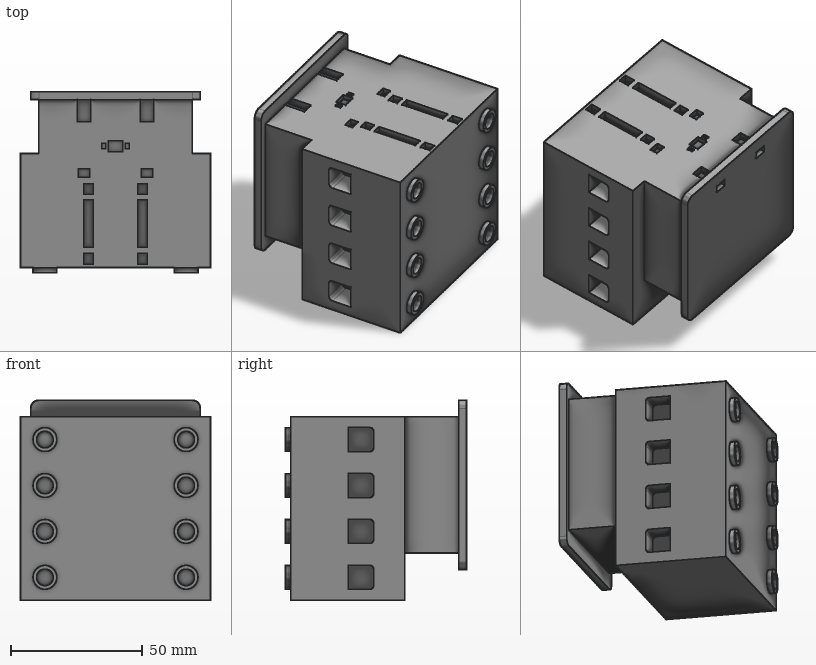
import cadquery as cq


BLOCK_WIDTH = 72.5
BLOCK_DEPTH = 43.5
BLOCK_HEIGHT = 70.0

NECK_WIDTH = 58.5
NECK_DEPTH = 20.5
NECK_HEIGHT = 52.0

PLATE_SIZE = 64.6
PLATE_THICKNESS = 3.0
PLATE_CORNER_RADIUS = 3.0
PLATE_RISE = 6.25

PLATE_FRONT_Y = BLOCK_DEPTH + NECK_DEPTH
PLATE_TOP_Z = BLOCK_HEIGHT + PLATE_RISE

TERMINAL_ROWS = 4
TERMINAL_PITCH = BLOCK_HEIGHT / TERMINAL_ROWS
TERMINAL_LEVELS = [TERMINAL_PITCH * (row + 0.5) for row in range(TERMINAL_ROWS)]

RING_X = 26.9
RING_DIAMETER = 9.1
RING_LENGTH = 2.0
RING_BORE_DIAMETER = 6.3
RING_BORE_DEPTH = 4.0

OPENING_FRONT_Y = 22.0
OPENING_WIDTH = 9.6
OPENING_HEIGHT = 9.2
OPENING_DEPTH = 10.0
OPENING_CORNER_RADIUS = 1.5

LATCH_X = 12.0
LATCH_WIDTH = 5.0
LATCH_NECK_LENGTH = 8.5
LATCH_LENGTH = LATCH_NECK_LENGTH + PLATE_THICKNESS
LATCH_DEPTH = 3.0

WINDOW_Y = 46.3
WINDOW_WIDTH = 5.4
WINDOW_LENGTH = 4.2
WINDOW_DEPTH = 2.0
SIDE_POCKET_X = 4.4
SIDE_POCKET_WIDTH = 1.5
SIDE_POCKET_LENGTH = 2.2
SIDE_POCKET_DEPTH = 1.0

SHALLOW_Y = 36.0
SHALLOW_WIDTH = 4.3
SHALLOW_LENGTH = 3.2
SHALLOW_DEPTH = 2.5

DEEP_X = 10.3
DEEP_WIDTH = 3.6
DEEP_DEPTH = 5.0
DEEP_SLOTS = [(3.4, 4.2), (16.8, 18.2), (29.9, 3.9)]


def make_block():
    return cq.Workplane("XY").box(
        BLOCK_WIDTH, BLOCK_DEPTH, BLOCK_HEIGHT, centered=(True, False, False)
    )


def make_neck():
    return (
        cq.Workplane("XY")
        .box(NECK_WIDTH, NECK_DEPTH, NECK_HEIGHT, centered=(True, False, False))
        .translate((0, BLOCK_DEPTH, BLOCK_HEIGHT - NECK_HEIGHT))
    )


def make_plate():
    return (
        cq.Workplane("XY")
        .box(PLATE_SIZE, PLATE_THICKNESS, PLATE_SIZE, centered=(True, False, False))
        .edges("|Y")
        .fillet(PLATE_CORNER_RADIUS)
        .translate((0, PLATE_FRONT_Y, PLATE_TOP_Z - PLATE_SIZE))
    )


def cylinder_from_ring_face(x, z, diameter, length):
    """Cylinder that starts at the ring's front face and runs toward the plate."""
    start = cq.Vector(x, -RING_LENGTH, z)
    return cq.Workplane(cq.Solid.makeCylinder(diameter / 2, length, start, cq.Vector(0, 1, 0)))


def make_wire_opening(side, z):
    """Opening in the -X (side = -1) or +X (side = 1) wall, rounded at its rear corners."""
    centre_x = side * (BLOCK_WIDTH - OPENING_DEPTH) / 2
    centre_y = OPENING_FRONT_Y + OPENING_WIDTH / 2
    return (
        cq.Workplane("XY")
        .box(OPENING_DEPTH, OPENING_WIDTH, OPENING_HEIGHT)
        .edges("|X and >Y")
        .fillet(OPENING_CORNER_RADIUS)
        .translate((centre_x, centre_y, z))
    )


def top_pocket(x, y, width, length, depth):
    """Rectangular cutter sunk into the top, centred on (x, y)."""
    return cq.Workplane("XY").box(width, length, depth).translate((x, y, BLOCK_HEIGHT - depth / 2))


def add_terminals(body):
    for side in (-1, 1):
        for z in TERMINAL_LEVELS:
            x = side * RING_X
            body = body.union(cylinder_from_ring_face(x, z, RING_DIAMETER, RING_LENGTH))
            body = body.cut(cylinder_from_ring_face(x, z, RING_BORE_DIAMETER, RING_BORE_DEPTH))
            body = body.cut(make_wire_opening(side, z))
    return body


def cut_top_pockets(body):
    latch_y = PLATE_FRONT_Y - LATCH_NECK_LENGTH + LATCH_LENGTH / 2
    body = body.cut(top_pocket(0, WINDOW_Y, WINDOW_WIDTH, WINDOW_LENGTH, WINDOW_DEPTH))
    for side in (-1, 1):
        body = body.cut(top_pocket(side * LATCH_X, latch_y, LATCH_WIDTH, LATCH_LENGTH, LATCH_DEPTH))
        body = body.cut(
            top_pocket(
                side * SIDE_POCKET_X, WINDOW_Y, SIDE_POCKET_WIDTH, SIDE_POCKET_LENGTH, SIDE_POCKET_DEPTH
            )
        )
        body = body.cut(
            top_pocket(side * LATCH_X, SHALLOW_Y, SHALLOW_WIDTH, SHALLOW_LENGTH, SHALLOW_DEPTH)
        )
        for y, length in DEEP_SLOTS:
            body = body.cut(top_pocket(side * DEEP_X, y, DEEP_WIDTH, length, DEEP_DEPTH))
    return body


housing = make_block().union(make_neck()).union(make_plate())
housing = add_terminals(housing)
result = cut_top_pockets(housing)